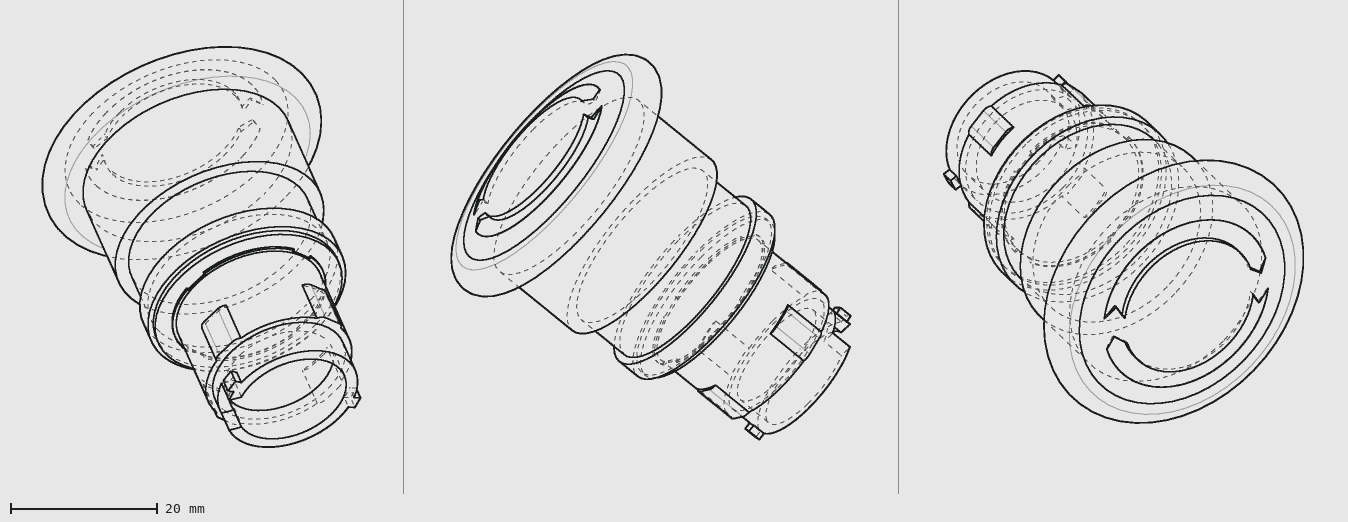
import cadquery as cq
import math

LENGTH = 51.9

HEAD_RADIUS = 20.01
RIM_START = 3.2
RIM_ROUND = 2.31
RIM_END = RIM_START + 2 * RIM_ROUND
DOME_RADIUS = 16.1
DOME_SPHERE = (DOME_RADIUS**2 + RIM_START**2) / (2 * RIM_START)

COLLAR_END = 33.75
RING_END = 34.05
RING_RADIUS = 11.05
BARREL_END = 46.55
BARREL_RADIUS = 10.55
SPIGOT_RADIUS = 9.55
BODY_STEPS = [
    (21.5, 15.05),
    (29.55, 13.15),
    (33.0, 14.25),
    (COLLAR_END, 13.5),
    (RING_END, RING_RADIUS),
    (BARREL_END, BARREL_RADIUS),
    (LENGTH, SPIGOT_RADIUS),
]

ARROW_INNER = 10.1
ARROW_OUTER = 12.9
ARROW_FLOOR = 2.1
TAIL_NOTCH = (11.15, 3.1)
HEAD_TIP = (-11.5, 1.55)
TAIL_INNER_Z = 1.2
TAIL_OUTER_Z = 1.55
HEAD_INNER_Z = 2.95
HEAD_OUTER_Z = 3.55

PAD_START = 40.35
PAD_HEIGHT = 10.85
PAD_WIDTH = 5.4
PAD_ROUND = 1.35
PAD_ANGLES = [45, 135, 225, 315]
RING_GAP = 3.4

BORE_RADIUS = 7.9
WINDOW_START = 48.7
WINDOW_WIDTH = 6.35
LUG_START = 50.0
LUG_ROOT = 8.8
LUG_HEIGHT = 10.55
LUG_WIDTH = 1.9
LUG_ANGLES = [145, -25]


def on_circle(radius, z, side):
    """Point of a circle at height z, on the +Y (side 1) or -Y (side -1) half."""
    return (side * math.sqrt(radius**2 - z**2), z)


def make_body():
    """Revolve the head and the stepped cylinders about X."""
    half_chord = DOME_RADIUS / 2
    sag = DOME_SPHERE - math.sqrt(DOME_SPHERE**2 - half_chord**2)
    profile = (
        cq.Workplane("XY")
        .threePointArc((sag, half_chord), (RIM_START, DOME_RADIUS))
        .lineTo(RIM_START, HEAD_RADIUS - RIM_ROUND)
        .threePointArc(
            (RIM_START + RIM_ROUND, HEAD_RADIUS),
            (RIM_END, HEAD_RADIUS - RIM_ROUND),
        )
    )
    position = RIM_END
    for end, radius in BODY_STEPS:
        profile = profile.lineTo(position, radius).lineTo(end, radius)
        position = end
    return profile.lineTo(LENGTH, 0).close().revolve(360, (0, 0, 0), (1, 0, 0))


def make_arrow():
    """Curved arrow, notched at its tail and pointed at its head, down to the flat floor."""
    return (
        cq.Workplane("YZ")
        .moveTo(*on_circle(ARROW_OUTER, TAIL_OUTER_Z, 1))
        .threePointArc((0, ARROW_OUTER), on_circle(ARROW_OUTER, HEAD_OUTER_Z, -1))
        .lineTo(*HEAD_TIP)
        .lineTo(*on_circle(ARROW_INNER, HEAD_INNER_Z, -1))
        .threePointArc((0, ARROW_INNER), on_circle(ARROW_INNER, TAIL_INNER_Z, 1))
        .lineTo(*TAIL_NOTCH)
        .close()
        .extrude(ARROW_FLOOR)
    )


def radial_block(start, end, inner, outer, width):
    """Block pointing along +Y, between two distances from the axis."""
    return (
        cq.Workplane("XY")
        .box(end - start, outer - inner, width, centered=(False, False, True))
        .translate((start, inner, 0))
    )


def turned(shape, angle):
    """Turn a shape about the X axis, from +Y towards +Z."""
    return shape.rotate((0, 0, 0), (1, 0, 0), angle)


result = make_body()
arrow = make_arrow()
result = result.cut(arrow).cut(turned(arrow, 180))

ring_gap = radial_block(COLLAR_END, RING_END, BARREL_RADIUS, RING_RADIUS, RING_GAP)
pad = radial_block(PAD_START, BARREL_END, BORE_RADIUS, PAD_HEIGHT, PAD_WIDTH)
pad = pad.faces(">Y").edges("|X").fillet(PAD_ROUND)
for pad_angle in PAD_ANGLES:
    result = result.cut(turned(ring_gap, pad_angle)).union(turned(pad, pad_angle))

bore = cq.Workplane("YZ", origin=(BARREL_END, 0, 0)).circle(BORE_RADIUS).extrude(LENGTH - BARREL_END)
window = radial_block(WINDOW_START, LENGTH, 0, BARREL_RADIUS, WINDOW_WIDTH)
result = result.cut(bore).cut(turned(window, 180))

lug = radial_block(LUG_START, LENGTH, LUG_ROOT, LUG_HEIGHT, LUG_WIDTH)
for lug_angle in LUG_ANGLES:
    result = result.union(turned(lug, lug_angle))